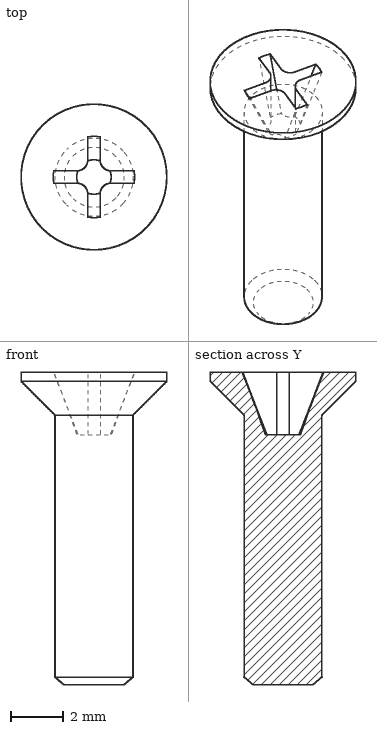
import cadquery as cq

total_length = 12.0
head_diameter = 5.6
shank_diameter = 3.0

rim_height = 0.35
cone_height = (head_diameter - shank_diameter) / 2

tip_chamfer_width = 0.35
tip_chamfer_height = 0.3

recess_top_diameter = 3.12
recess_bottom_diameter = 1.32
recess_depth = 2.4
slot_width = 0.48
inner_corner_radius = 0.4


def screw_body():
    """Revolved screw blank, tip at Z = 0 and flat head face at the top."""
    head_radius = head_diameter / 2
    shank_radius = shank_diameter / 2
    rim_bottom = total_length - rim_height
    head_bottom = rim_bottom - cone_height
    return (
        cq.Workplane("XZ")
        .moveTo(0, 0)
        .lineTo(shank_radius - tip_chamfer_width, 0)
        .lineTo(shank_radius, tip_chamfer_height)
        .lineTo(shank_radius, head_bottom)
        .lineTo(head_radius, rim_bottom)
        .lineTo(head_radius, total_length)
        .lineTo(0, total_length)
        .close()
        .revolve(360, (0, 0, 0), (0, 1, 0))
    )


def cross_recess():
    """Cross with rounded inner corners, its wing ends tapering along a cone."""
    floor = total_length - recess_depth
    base = cq.Workplane("XY").workplane(offset=floor)
    wing_x = base.rect(head_diameter, slot_width).extrude(recess_depth)
    wing_y = base.rect(slot_width, head_diameter).extrude(recess_depth)
    inner_edges = cq.selectors.BoxSelector(
        (-slot_width, -slot_width, floor),
        (slot_width, slot_width, total_length),
    )
    cross = wing_x.union(wing_y).edges("|Z").edges(inner_edges).fillet(inner_corner_radius)
    taper = (
        base.circle(recess_bottom_diameter / 2)
        .workplane(offset=recess_depth)
        .circle(recess_top_diameter / 2)
        .loft(ruled=True)
    )
    return cross.intersect(taper)


result = screw_body().cut(cross_recess())